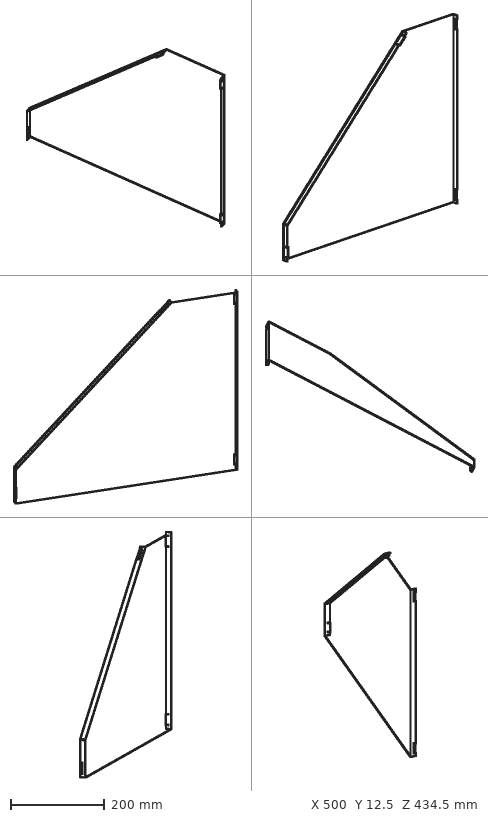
import cadquery as cq
import math

width = 500.0
depth = 12.5
height = 434.5
sheet = 1.0
left_height = 83.5
slope_run = height - left_height
corner_gap = 1.0

clip_length = 22.5
clip_reach = 4.75
clip_height = 4.0
bend_radius = 1.5
inner_radius = bend_radius - sheet
relief_width = 1.0
relief_depth = 5.5
notch_length = clip_length + 2 * relief_width
clip_margin = 8.0
far_offset = clip_margin + notch_length

end_step = sheet * math.sqrt(0.5)
panel_top = height - end_step
slope_length = slope_run * math.sqrt(2)


def edge_plane(start, along, inward, offset):
    """Section plane across an edge: local x points inward, local y is +Y."""
    scale = offset / math.hypot(*along)
    origin = (start[0] + along[0] * scale, 0, start[1] + along[1] * scale)
    return cq.Plane(origin, (inward[0], 0, inward[1]), (along[0], 0, along[1]))


def make_panel():
    outline = [
        (0, 0),
        (0, left_height),
        (slope_run, height),
        (slope_run + end_step, panel_top),
        (width, panel_top),
        (width, 0),
    ]
    panel_plane = cq.Workplane("XZ", origin=(0, depth, 0))
    return panel_plane.polyline(outline).close().extrude(sheet)


def make_clip(plane):
    """J-shaped hook joined to the flange above the notch by its outer leg."""
    section = (
        cq.Workplane(plane)
        .moveTo(0, relief_depth)
        .lineTo(0, bend_radius)
        .radiusArc((bend_radius, 0), -bend_radius)
        .lineTo(clip_reach - bend_radius, 0)
        .radiusArc((clip_reach, bend_radius), -bend_radius)
        .lineTo(clip_reach, clip_height)
        .lineTo(clip_reach - sheet, clip_height)
        .lineTo(clip_reach - sheet, bend_radius)
        .radiusArc((clip_reach - bend_radius, sheet), inner_radius)
        .lineTo(bend_radius, sheet)
        .radiusArc((sheet, bend_radius), inner_radius)
        .lineTo(sheet, relief_depth)
        .close()
    )
    return section.extrude(clip_length)


def make_flange(start, along, inward, first, last, notch_starts):
    """Flange from first to last along an edge, with a clip in each notch."""
    flange = (
        cq.Workplane(edge_plane(start, along, inward, first))
        .rect(sheet, depth, centered=False)
        .extrude(last - first)
    )
    for notch_start in notch_starts:
        notch = (
            cq.Workplane(edge_plane(start, along, inward, notch_start))
            .rect(sheet, relief_depth, centered=False)
            .extrude(notch_length)
        )
        clip_plane = edge_plane(start, along, inward, notch_start + relief_width)
        flange = flange.cut(notch).union(make_clip(clip_plane))
    return flange


left_flange = make_flange(
    (0, 0), (0, 1), (1, 0), 0, left_height - corner_gap, [clip_margin]
)
slope_flange = make_flange(
    (0, left_height), (1, 1), (1, -1), corner_gap, slope_length - corner_gap,
    [slope_length - far_offset],
)
right_flange = make_flange(
    (width, panel_top), (0, -1), (-1, 0), 0, panel_top,
    [clip_margin, panel_top - far_offset],
)

result = make_panel().union(left_flange).union(slope_flange).union(right_flange)